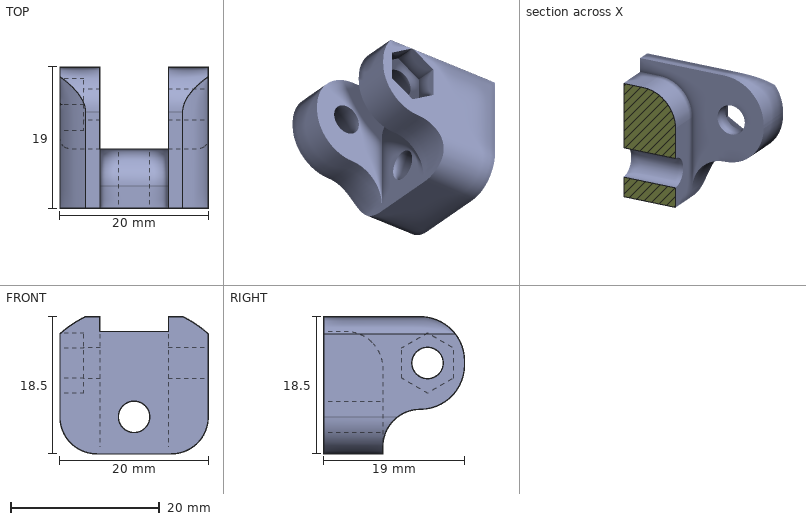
import cadquery as cq
import math

width = 20.0
length = 19.0
height = 18.5
corner_radius = 5.0
swing_radius = 15.0

base_depth = 8.0
ear_bottom = 6.0
throat_radius = 5.0
ear_end_radius = length - base_depth - throat_radius

gap_width = 9.2
web_height = 16.5
web_round_radius = 5.0

hole_diameter = 4.2
pivot_z = corner_radius
ear_hole_y = 14.0
ear_hole_z = (ear_bottom + height) / 2
nut_across_flats = 7.0
nut_depth = 3.2

half_width = width / 2


def quarter_arc_middle(center_y, center_z, radius, y_sign, z_sign):
    """Middle point of a quarter arc in the chosen quadrant around a center."""
    offset = radius * math.sqrt(0.5)
    return (center_y + y_sign * offset, center_z + z_sign * offset)


def side_profile():
    """Base and ears seen along X, extruded over the full width."""
    arc_y = length - ear_end_radius
    upper_z = height - ear_end_radius
    lower_z = ear_bottom + ear_end_radius
    throat_z = ear_bottom - throat_radius
    return (
        cq.Workplane("YZ", origin=(-half_width, 0, 0))
        .lineTo(base_depth, 0)
        .lineTo(base_depth, throat_z)
        .threePointArc(
            quarter_arc_middle(arc_y, throat_z, throat_radius, -1, 1),
            (arc_y, ear_bottom),
        )
        .threePointArc(
            quarter_arc_middle(arc_y, lower_z, ear_end_radius, 1, -1),
            (length, lower_z),
        )
        .lineTo(length, upper_z)
        .threePointArc(
            quarter_arc_middle(arc_y, upper_z, ear_end_radius, 1, 1),
            (arc_y, height),
        )
        .lineTo(0, height)
        .close()
        .extrude(width)
    )


def front_envelope():
    """Front outline: rounded lower corners and shoulders on the swing circle."""
    outline = (
        cq.Workplane("XY")
        .box(width, length, height, centered=(True, False, False))
        .edges("|Y and <Z")
        .fillet(corner_radius)
    )
    swing_cylinder = (
        cq.Workplane("XZ", origin=(0, 0, pivot_z))
        .circle(swing_radius)
        .extrude(-length)
    )
    return outline.intersect(swing_cylinder)


def ear_gap():
    """Space between the ears, leaving a web with a rounded upper back edge."""
    gap = (
        cq.Workplane("XY")
        .box(gap_width, length, height, centered=(True, False, False))
    )
    web = (
        cq.Workplane("XY")
        .box(gap_width, base_depth, web_height, centered=(True, False, False))
        .edges(">Y and >Z")
        .fillet(web_round_radius)
    )
    return gap.cut(web)


def pivot_hole():
    """Hole along Y through the base."""
    return (
        cq.Workplane("XZ", origin=(0, 0, pivot_z))
        .circle(hole_diameter / 2)
        .extrude(-length)
    )


def ear_hole():
    """Hole along X through both ears."""
    return (
        cq.Workplane("YZ", origin=(-half_width, ear_hole_y, ear_hole_z))
        .circle(hole_diameter / 2)
        .extrude(width)
    )


def nut_pocket():
    """Hexagonal pocket in the -X ear, with corners pointing up and down."""
    across_corners = nut_across_flats / math.cos(math.pi / 6)
    return (
        cq.Workplane("YZ", origin=(-half_width, ear_hole_y, ear_hole_z))
        .transformed(rotate=(0, 0, 90))
        .polygon(6, across_corners)
        .extrude(nut_depth)
    )


result = (
    side_profile()
    .intersect(front_envelope())
    .cut(ear_gap())
    .cut(pivot_hole())
    .cut(ear_hole())
    .cut(nut_pocket())
)